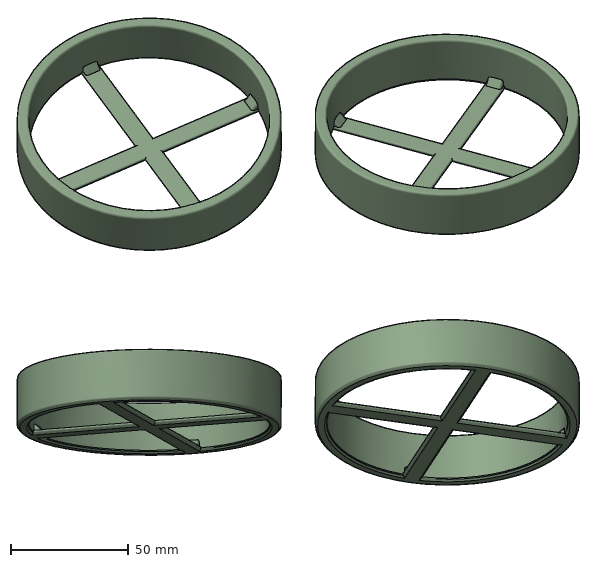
import cadquery as cq

outer_diameter = 112.5
inner_diameter = 102.5
ring_height = 22.0
rim_round = 1.0

bar_width = 8.5
bar_thickness = 2.0
bar_edge_round = 0.7

bottom_chamfer = 1.0
chamfer_blend = 0.7

gusset_length = 3.0
gusset_height = 3.0
gusset_edge_round = 1.0

inner_radius = inner_diameter / 2
mid_wall_radius = (inner_diameter + outer_diameter) / 4
gusset_width = bar_width - 2 * bar_edge_round


def blend_chamfer(body, direction):
    """Round the edges of the given direction where the bottom chamfer meets the walls."""
    margin = bottom_chamfer / 10
    reach = outer_diameter
    chamfer_level = cq.selectors.BoxSelector(
        (-reach, -reach, bottom_chamfer - margin),
        (reach, reach, bottom_chamfer + margin),
    )
    return body.edges(direction).edges(chamfer_level).fillet(chamfer_blend)


def make_ring():
    """Ring with rounded upper edges and blended chamfers on its bottom edges."""
    ring = cq.Workplane("XY").circle(outer_diameter / 2).circle(inner_radius).extrude(ring_height)
    ring = ring.faces(">Z").edges().fillet(rim_round)
    ring = ring.faces("<Z").edges().chamfer(bottom_chamfer)
    return blend_chamfer(ring, "%CIRCLE")


def make_bar():
    """Bar along X with rounded upper and chamfered lower edges, ending inside the ring wall."""
    bar = cq.Workplane("XY").box(2 * mid_wall_radius, bar_width, bar_thickness, centered=(True, True, False))
    bar = bar.faces("<Z").edges("|X").chamfer(bottom_chamfer)
    bar = blend_chamfer(bar, "|X")
    return bar.faces(">Z").edges("|X").fillet(bar_edge_round)


def make_gusset():
    """Wedge at the +X bar end with rounded edges along its slope."""
    toe = inner_radius - gusset_length
    depth = mid_wall_radius - toe
    rise = depth * gusset_height / gusset_length
    wedge = (
        cq.Workplane("XZ")
        .moveTo(toe, bar_thickness)
        .lineTo(mid_wall_radius, bar_thickness + rise)
        .lineTo(mid_wall_radius, bottom_chamfer)
        .lineTo(toe, bottom_chamfer)
        .close()
        .extrude(gusset_width / 2, both=True)
    )
    for side in (-1, 1):
        slope_edge_middle = (toe + depth / 2, side * gusset_width / 2, bar_thickness + rise / 2)
        slope_edge = cq.selectors.NearestToPointSelector(slope_edge_middle)
        wedge = wedge.edges(slope_edge).fillet(gusset_edge_round)
    return wedge


def turned(body, angle):
    """Body turned about the ring axis."""
    return body.rotate((0, 0, 0), (0, 0, 1), angle)


result = make_ring()
for bar_angle in (0, 90):
    result = result.union(turned(make_bar(), bar_angle))
for gusset_angle in (0, 90, 180, 270):
    result = result.union(turned(make_gusset(), gusset_angle))